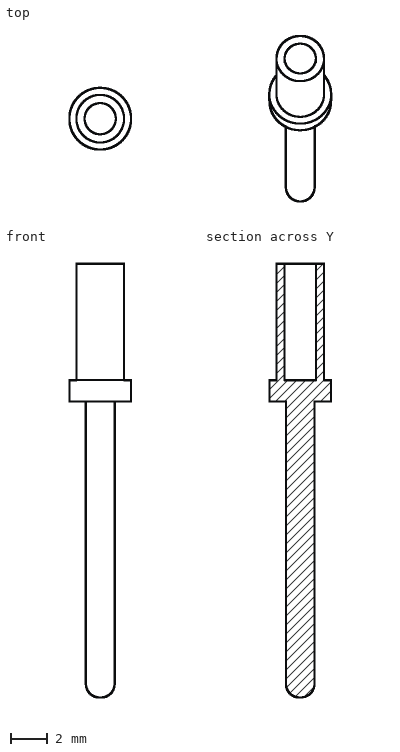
import cadquery as cq

total_length = 23.5
barrel_length = 6.3
flange_thickness = 1.18
pin_length = total_length - barrel_length - flange_thickness

pin_diameter = 1.57
flange_diameter = 3.35
barrel_diameter = 2.58
bore_diameter = 1.7

bore_depth = barrel_length

tip_radius = 0.75


def make_pin():
    """Round pin with its lower end on Z = 0 and a rounded tip."""
    pin = cq.Workplane("XY").circle(pin_diameter / 2).extrude(pin_length)
    return pin.faces("<Z").edges().fillet(tip_radius)


def add_cylinder(body, diameter, length):
    """Stack a coaxial cylinder on the top face of the body."""
    return body.faces(">Z").workplane().circle(diameter / 2).extrude(length)


def cut_bore(body):
    """Drill the flat-bottomed bore down from the open end of the barrel."""
    return body.faces(">Z").workplane().hole(bore_diameter, bore_depth)


flanged_pin = add_cylinder(make_pin(), flange_diameter, flange_thickness)
contact = add_cylinder(flanged_pin, barrel_diameter, barrel_length)
result = cut_bore(contact)